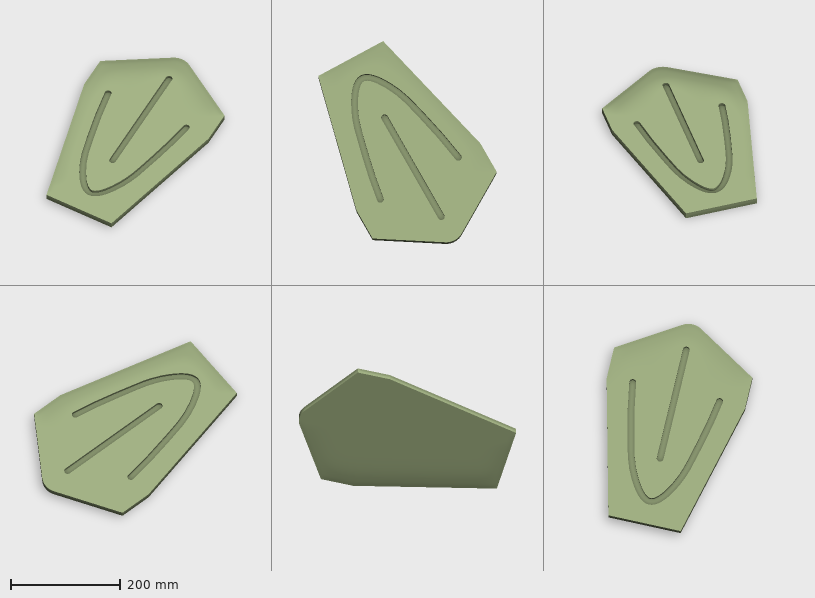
import cadquery as cq
import math

length = 393.0
width = 260.0
thickness = 12.0
bottom_width = 136.0
lower_corner_y = 256.3
tip_slope_angle = math.radians(32.1)
tip_radius = 32.5

sharp_tip_y = length + tip_radius * (1 / math.cos(tip_slope_angle) - 1)
upper_corner_y = sharp_tip_y - width / 2 * math.tan(tip_slope_angle)

groove_width = 12.5
groove_depth = 6.0
straight_groove_bottom_y = 122.0
straight_groove_top_y = 348.5

curve_bottom = (0, 43.2)
curve_right_points = [(35.5, 78.2), (60.5, 152.0), (73.5, 210.5), (81.8, 259.5)]

groove_floor_z = thickness - groove_depth


def make_plate():
    """Symmetric six-sided plate with a rounded tip."""
    sharp_plate = (
        cq.Workplane("XY")
        .moveTo(-bottom_width / 2, 0)
        .lineTo(bottom_width / 2, 0)
        .lineTo(width / 2, lower_corner_y)
        .lineTo(width / 2, upper_corner_y)
        .lineTo(0, sharp_tip_y)
        .lineTo(-width / 2, upper_corner_y)
        .lineTo(-width / 2, lower_corner_y)
        .close()
        .extrude(thickness)
    )
    return sharp_plate.edges("|Z").edges(">Y").fillet(tip_radius)


def make_straight_groove():
    """Round-ended cutter on the mirror line."""
    groove_length = straight_groove_top_y - straight_groove_bottom_y
    middle_y = (straight_groove_top_y + straight_groove_bottom_y) / 2
    return (
        cq.Workplane("XY", origin=(0, middle_y, groove_floor_z))
        .slot2D(groove_length, groove_width, 90)
        .extrude(groove_depth)
    )


def make_curved_groove():
    """U-shaped cutter of constant width with round ends."""
    left_points = [(-x, y) for x, y in reversed(curve_right_points)]
    center_points = left_points + [curve_bottom] + curve_right_points
    floor_origin = (0, 0, groove_floor_z)
    center_line = cq.Workplane("XY", origin=floor_origin).spline(center_points)

    start = center_line.val().startPoint()
    direction = center_line.val().tangentAt(0)
    across = cq.Vector(0, 0, 1).cross(direction)
    section_plane = cq.Plane(origin=start, xDir=across, normal=direction)
    channel = (
        cq.Workplane(section_plane)
        .center(0, groove_depth / 2)
        .rect(groove_width, groove_depth)
        .sweep(center_line)
    )
    round_ends = (
        cq.Workplane("XY", origin=floor_origin)
        .pushPoints([center_points[0], center_points[-1]])
        .circle(groove_width / 2)
        .extrude(groove_depth)
    )
    return channel.union(round_ends)


result = make_plate().cut(make_straight_groove()).cut(make_curved_groove())